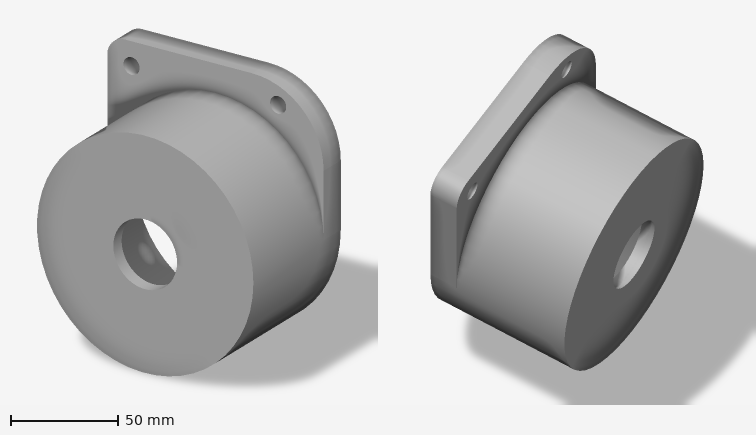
import cadquery as cq

body_radius = 60.5
overall_height = 135.9
overall_depth = 74.0
plate_thickness = 14.5
plate_top = overall_height - body_radius

side_wall = 6.0
front_wall = 7.0
cavity_radius = body_radius - side_wall
cavity_depth = overall_depth - front_wall

left_corner_radius = 10.0
right_corner_radius = 40.1

bore_diameter = 35.6
mount_hole_diameter = 9.0
mount_hole_height = 62.8
left_hole_x = -46.9
right_hole_x = 35.0


def flange_plate():
    """Plate at the back, square above the bore axis with two rounded corners."""
    plate = (
        cq.Workplane("XZ")
        .rect(2 * body_radius, plate_top)
        .extrude(-plate_thickness)
        .translate((0, 0, plate_top / 2))
    )
    plate = plate.edges("|Y and >Z and <X").fillet(left_corner_radius)
    return plate.edges("|Y and >Z and >X").fillet(right_corner_radius)


def through_holes(centers, diameter):
    """Cutters along Y covering the full depth of the part."""
    return cq.Workplane("XZ").pushPoints(centers).circle(diameter / 2).extrude(overall_depth, both=True)


body = (
    cq.Workplane("XZ", origin=(0, plate_thickness, 0))
    .circle(body_radius)
    .extrude(overall_depth)
)
cavity = (
    cq.Workplane("XZ", origin=(0, plate_thickness, 0))
    .circle(cavity_radius)
    .extrude(cavity_depth)
)
mount_hole_centers = [(x, mount_hole_height) for x in (left_hole_x, right_hole_x)]

result = (
    body.union(flange_plate())
    .cut(cavity)
    .cut(through_holes([(0, 0)], bore_diameter))
    .cut(through_holes(mount_hole_centers, mount_hole_diameter))
)